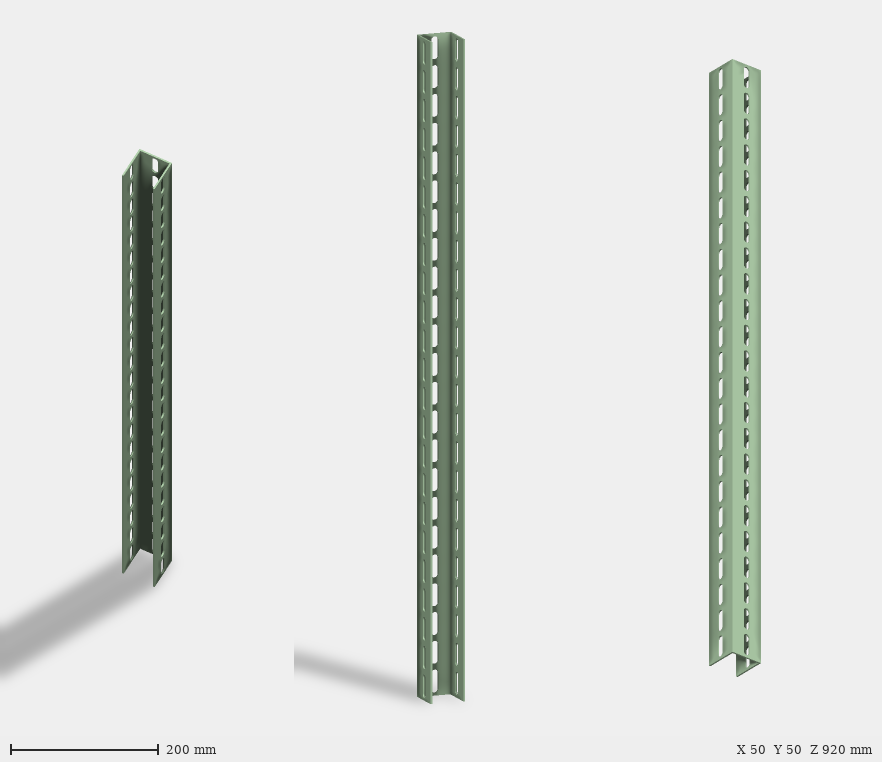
import cadquery as cq

length = 920.0
sheet_thickness = 2.5
inner_width = 45.0
outer_width = inner_width + 2 * sheet_thickness
depth = outer_width

slot_count = 23
slot_pitch = length / slot_count
slot_length = 32.0
slot_width = 10.0

flange_slot_y = -sheet_thickness / 2


def slot_row(plane, half_reach):
    """Row of slots running along Z, extending both ways from the given plane."""
    return (
        cq.Workplane(plane)
        .rarray(9, slot_pitch, 1, slot_count)
        .slot2D(slot_length, slot_width, 90)
        .extrude(half_reach, both=True)
    )


block = cq.Workplane("XY").box(outer_width, depth, length)
hollow = cq.Workplane("XY").box(inner_width, depth, length).translate((0, -sheet_thickness, 0))
channel = block.cut(hollow)

flange_slots = slot_row("YZ", outer_width).translate((0, flange_slot_y, 0))
web_slots = slot_row("XZ", depth)

result = channel.cut(flange_slots).cut(web_slots)